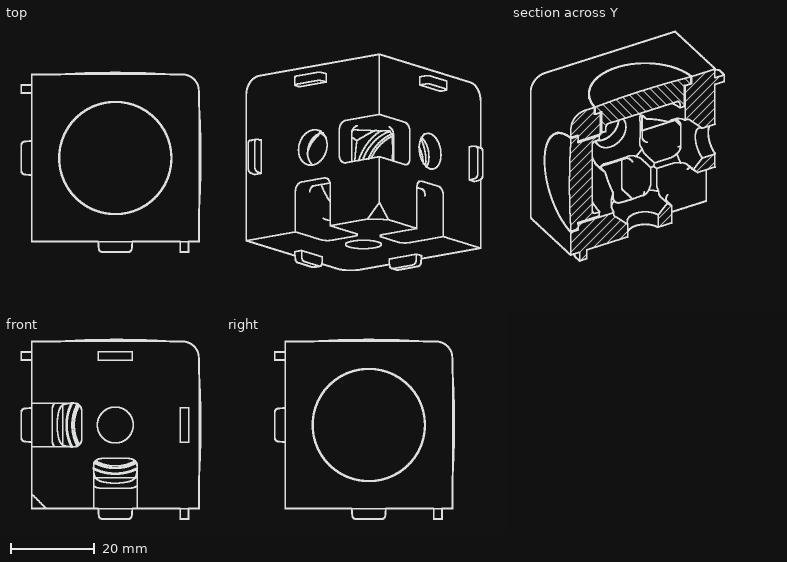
import cadquery as cq
import math

CUBE = 40.0
HALF = CUBE / 2
EDGE_RADIUS = 4.0
CORNER_CUT = 3.55
PAST = 5.0

TAB_LENGTH = 8.2
TAB_DRAFT = 4.0
TAB_THICKNESS = 2.0
TAB_HEIGHT = 2.5
TAB_RADIUS = 1.0
TAB_INSET = 2.5

NOTCH_REACH = 12.0
NOTCH_DEPTH = 4.9
NOTCH_WIDTH = 10.4
NOTCH_RADIUS = 1.9
NOTCH_WALL = -HALF + NOTCH_REACH
NOTCH_TURN = -HALF + NOTCH_DEPTH

HOLE_RADIUS = 4.3
CHAMBER_RADIUS = 8.1
CHAMBER_START = -12.6
CONE_START = CHAMBER_START - (CHAMBER_RADIUS - HOLE_RADIUS)
BORE_RADIUS = 11.75
BORE_START = 5.0

LENS_RADIUS = 13.35
FLANGE_GAP = 0.15
PLUG_GAP = 0.22
FLANGE_THICKNESS = 2.0
DOME_HEIGHT = 0.45
PLUG_END = 12.0
RECESS_RADIUS = 10.38
RECESS_DRAFT = 0.18
RECESS_CHAMFER = 0.4
RECESS_DEPTH = 2.0
SEAT = HALF - FLANGE_THICKNESS
PLUG_RADIUS = BORE_RADIUS - PLUG_GAP


def on_each_axis(shape):
    """Copies of a Z-axis shape for the Z, X and Y axes."""
    return [shape.rotate((0, 0, 0), (1, 1, 1), angle) for angle in (0, 120, 240)]


def cube_block():
    block = cq.Workplane("XY").box(CUBE, CUBE, CUBE)
    return block.edges("(>X and >Y) or (>X and >Z) or (>Y and >Z)").fillet(EDGE_RADIUS)


def corner_cutter():
    """Block on a plane tilted to the cube diagonal, which takes off the (-, -, -) corner."""
    cut_center = -HALF + CORNER_CUT / 3
    cut_plane = cq.Plane(
        origin=(cut_center, cut_center, cut_center), xDir=(1, -1, 0), normal=(-1, -1, -1)
    )
    return cq.Workplane(cut_plane).rect(2 * CORNER_CUT, 2 * CORNER_CUT).extrude(CORNER_CUT)


def tab():
    """Tab below the -Z face, long in X, centred on X = 0."""
    near_side = HALF - TAB_INSET
    half_base = TAB_LENGTH / 2
    half_tip = half_base - TAB_HEIGHT * math.tan(math.radians(TAB_DRAFT))
    tip = -HALF - TAB_HEIGHT
    outline = [(-half_base, -HALF), (half_base, -HALF), (half_tip, tip), (-half_tip, tip)]
    return (
        cq.Workplane("XZ", origin=(0, near_side, 0))
        .polyline(outline).close()
        .extrude(TAB_THICKNESS)
        .edges("|Y and <Z").fillet(TAB_RADIUS)
    )


def notch_cutter():
    """Notch in the vertical (-X, -Y) edge that narrows into a tunnel towards the cube centre."""
    outside = -HALF - PAST
    tunnel = -NOTCH_TURN
    outline = [
        (outside, outside),
        (NOTCH_WALL, outside),
        (NOTCH_WALL, NOTCH_TURN),
        (NOTCH_WALL + tunnel, NOTCH_TURN + tunnel),
        (NOTCH_TURN + tunnel, NOTCH_WALL + tunnel),
        (NOTCH_TURN, NOTCH_WALL),
        (outside, NOTCH_WALL),
    ]
    return (
        cq.Workplane("XY").polyline(outline).close()
        .extrude(NOTCH_WIDTH / 2, both=True)
        .faces("|Z").edges().fillet(NOTCH_RADIUS)
    )


def bore_cutter():
    pocket_radius = LENS_RADIUS + FLANGE_GAP
    profile = [
        (0, -HALF - PAST),
        (HOLE_RADIUS, -HALF - PAST),
        (HOLE_RADIUS, CONE_START),
        (CHAMBER_RADIUS, CHAMBER_START),
        (CHAMBER_RADIUS, BORE_START),
        (BORE_RADIUS, BORE_START),
        (BORE_RADIUS, SEAT),
        (pocket_radius, SEAT),
        (pocket_radius, HALF + PAST),
        (0, HALF + PAST),
    ]
    return cq.Workplane("XZ").polyline(profile).close().revolve(360, (0, 0, 0), (0, 1, 0))


def lens():
    """Lens at the +Z face."""
    sphere_radius = (LENS_RADIUS**2 + DOME_HEIGHT**2) / (2 * DOME_HEIGHT)
    half_chord = LENS_RADIUS / 2
    drop = sphere_radius - math.sqrt(sphere_radius**2 - half_chord**2)
    recess_floor = PLUG_END + RECESS_DEPTH
    chamfer_radius = RECESS_RADIUS - RECESS_DRAFT
    return (
        cq.Workplane("XZ")
        .moveTo(0, recess_floor)
        .lineTo(chamfer_radius - RECESS_CHAMFER, recess_floor)
        .lineTo(chamfer_radius, recess_floor - RECESS_CHAMFER)
        .lineTo(RECESS_RADIUS, PLUG_END)
        .lineTo(PLUG_RADIUS, PLUG_END)
        .lineTo(PLUG_RADIUS, SEAT)
        .lineTo(LENS_RADIUS, SEAT)
        .lineTo(LENS_RADIUS, HALF)
        .threePointArc((half_chord, HALF + DOME_HEIGHT - drop), (0, HALF + DOME_HEIGHT))
        .close()
        .revolve(360, (0, 0, 0), (0, 1, 0))
    )


def make_housing():
    body = cube_block().cut(corner_cutter())
    first_tab = tab()
    second_tab = first_tab.mirror("XY").rotate((0, 0, 0), (1, 1, 0), 180)
    for shape in on_each_axis(first_tab) + on_each_axis(second_tab):
        body = body.union(shape)
    for shape in on_each_axis(notch_cutter()) + on_each_axis(bore_cutter()):
        body = body.cut(shape)
    return body


housing = make_housing()
lenses = on_each_axis(lens())

result = cq.Compound.makeCompound([housing.val(), *[body.val() for body in lenses]])